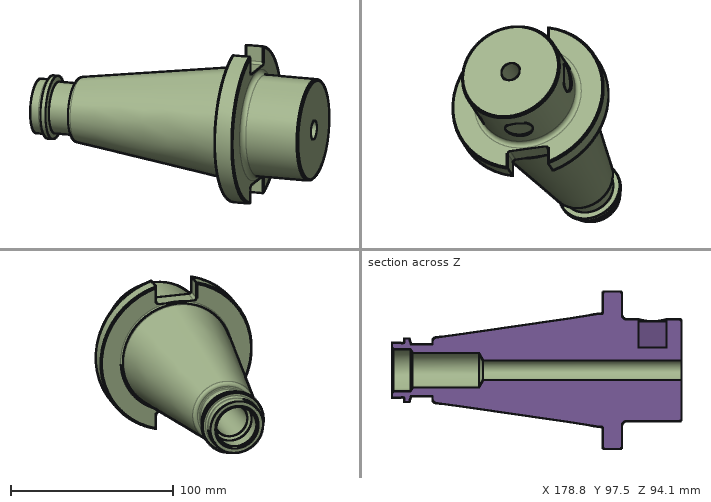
import cadquery as cq
import math

LENGTH = 178.8
RELIEF_START = 5.5
LIP_START = 7.7
LIP_END = 10.9
NECK_START = 12.0
TAPER_START = 25.0
GAUGE_LINE = 126.8
FLANGE_START = 130.0
FLANGE_END = 142.0

TAIL_RADIUS = 17.0
RELIEF_RADIUS = 16.8
RELIEF_RAMP = 0.7
RELIEF_FILLET = 1.0
LIP_RADIUS = 19.7
NECK_RADIUS = 16.1
NECK_FILLET = 0.5

GAUGE_RADIUS = 34.9
TAPER_SLOPE = 7 / 24 / 2
TAPER_START_RADIUS = GAUGE_RADIUS - TAPER_SLOPE * (GAUGE_LINE - TAPER_START)
TAPER_FILLET = 2.5

FLANGE_RADIUS = 97.5 / 2
FLANGE_CHAMFER = 0.7
FLANGE_FRONT_FILLET = 1.0
SLOT_WIDTH = 25.7
SLOT_FLOOR = 35.4
SLOT_FILLET = 1.6

NOSE_RADIUS = 31.5
NOSE_FILLET = 3.0
NOSE_CHAMFER = 0.9

MOUTH_RADIUS = 14.0
COUNTERBORE_RADIUS = 12.9
COUNTERBORE_DEPTH = 11.5
THREAD_BORE_RADIUS = 10.5
THREAD_BORE_DEPTH = 53.6
THROUGH_RADIUS = 5.9
DRILL_HALF_ANGLE = math.radians(60)

SCREW_RADIUS = 8.5
SCREW_X = 160.7
SCREW_INNER_END = 14.3
SCREW_OUTER_END = math.sqrt(NOSE_RADIUS**2 - SCREW_RADIUS**2)
SCREW_DIRECTIONS = (cq.Vector(0, 1, 0), cq.Vector(0, 0, -1))


def revolve_about_x(points):
    """Turn a closed (x, radius) outline about the X axis."""
    outline = cq.Workplane("XZ").polyline(points).close()
    return outline.revolve(360, (0, 0, 0), (1, 0, 0))


def ring_edge(x, radius):
    """Selector for the circular edge of the given radius lying at x, and nothing larger."""
    margin = 0.09
    reach = radius + margin
    return cq.selectors.BoxSelector(
        (x - margin, -reach, -reach), (x + margin, reach, reach), boundingbox=True
    )


def make_tail():
    """Tail with a pull lip and a shallow relief in front of the lip."""
    tail = revolve_about_x([
        (0, 0),
        (0, TAIL_RADIUS),
        (RELIEF_START, TAIL_RADIUS),
        (RELIEF_START + RELIEF_RAMP, RELIEF_RADIUS),
        (LIP_START, RELIEF_RADIUS),
        (LIP_START, LIP_RADIUS),
        (LIP_END, LIP_RADIUS),
        (NECK_START, NECK_RADIUS),
        (TAPER_START, NECK_RADIUS),
        (TAPER_START, 0),
    ])
    return tail.edges(ring_edge(LIP_START, RELIEF_RADIUS)).fillet(RELIEF_FILLET)


def make_taper():
    """Taper and its short cylinder, flared by a fillet where it meets the flange."""
    fillet = FLANGE_FRONT_FILLET
    taper = (
        cq.Workplane("XZ")
        .moveTo(TAPER_START, 0)
        .lineTo(TAPER_START, TAPER_START_RADIUS)
        .lineTo(GAUGE_LINE, GAUGE_RADIUS)
        .lineTo(FLANGE_START - fillet, GAUGE_RADIUS)
        .radiusArc((FLANGE_START, GAUGE_RADIUS + fillet), -fillet)
        .lineTo(FLANGE_START, 0)
        .close()
        .revolve(360, (0, 0, 0), (1, 0, 0))
    )
    return taper.edges(ring_edge(TAPER_START, TAPER_START_RADIUS)).fillet(TAPER_FILLET)


def make_drive_slot():
    """Cutter for the +Z slot: rounded floor corners, and walls that flare out at both flange faces."""
    width = FLANGE_END - FLANGE_START
    depth = FLANGE_RADIUS - SLOT_FLOOR
    slot = (
        cq.Workplane(origin=((FLANGE_START + FLANGE_END) / 2, 0, SLOT_FLOOR + depth / 2))
        .box(width, SLOT_WIDTH, depth)
        .faces("<Z").edges("|X").fillet(SLOT_FILLET)
    )
    wall = SLOT_WIDTH / 2
    flared = wall + FLANGE_CHAMFER
    for face_x, inward in ((FLANGE_START, 1), (FLANGE_END, -1)):
        flare = (
            cq.Workplane(origin=(0, 0, SLOT_FLOOR + SLOT_FILLET))
            .polyline([
                (face_x, -flared),
                (face_x, flared),
                (face_x + inward * FLANGE_CHAMFER, wall),
                (face_x + inward * FLANGE_CHAMFER, -wall),
            ])
            .close()
            .extrude(depth - SLOT_FILLET)
        )
        slot = slot.union(flare)
    return slot


def make_flange():
    """Chamfered flange disc with a drive slot at +Z and at -Z."""
    flange = cq.Workplane("YZ", origin=(FLANGE_START, 0, 0)).circle(FLANGE_RADIUS)
    flange = flange.extrude(FLANGE_END - FLANGE_START).edges().chamfer(FLANGE_CHAMFER)
    slot = make_drive_slot()
    return flange.cut(slot).cut(slot.mirror("XY"))


def make_nose():
    """Nose cylinder, flared by a fillet where it meets the flange."""
    nose = (
        cq.Workplane("XZ")
        .moveTo(FLANGE_END, 0)
        .lineTo(FLANGE_END, NOSE_RADIUS + NOSE_FILLET)
        .radiusArc((FLANGE_END + NOSE_FILLET, NOSE_RADIUS), -NOSE_FILLET)
        .lineTo(LENGTH, NOSE_RADIUS)
        .lineTo(LENGTH, 0)
        .close()
        .revolve(360, (0, 0, 0), (1, 0, 0))
    )
    return nose.edges(ring_edge(LENGTH, NOSE_RADIUS)).chamfer(NOSE_CHAMFER)


def make_bore():
    """Cutter for the bore: chamfered counterbore, thread bore and through hole, joined by cones."""
    countersink = (COUNTERBORE_RADIUS - THREAD_BORE_RADIUS) / math.tan(DRILL_HALF_ANGLE)
    drill_tip = (THREAD_BORE_RADIUS - THROUGH_RADIUS) / math.tan(DRILL_HALF_ANGLE)
    return revolve_about_x([
        (0, 0),
        (0, MOUTH_RADIUS),
        (MOUTH_RADIUS - COUNTERBORE_RADIUS, COUNTERBORE_RADIUS),
        (COUNTERBORE_DEPTH, COUNTERBORE_RADIUS),
        (COUNTERBORE_DEPTH + countersink, THREAD_BORE_RADIUS),
        (THREAD_BORE_DEPTH, THREAD_BORE_RADIUS),
        (THREAD_BORE_DEPTH + drill_tip, THROUGH_RADIUS),
        (LENGTH, THROUGH_RADIUS),
        (LENGTH, 0),
    ])


def radial_cylinder(direction, outer_end):
    """Screw-sized cylinder from the inner end of a screw hole out to the given distance."""
    start = cq.Vector(SCREW_X, 0, 0) + direction * SCREW_INNER_END
    return cq.Solid.makeCylinder(SCREW_RADIUS, outer_end - SCREW_INNER_END, start, direction)


def make_holder():
    holder = make_tail().union(make_taper()).union(make_flange()).union(make_nose())
    holder = holder.edges(ring_edge(TAPER_START, NECK_RADIUS)).fillet(NECK_FILLET)
    holder = holder.cut(make_bore())
    for direction in SCREW_DIRECTIONS:
        holder = holder.cut(cq.Workplane(radial_cylinder(direction, NOSE_RADIUS)))
    return holder


def make_screw(direction):
    """Clamping screw whose flat outer end is level with the lowest point of the hole rim."""
    return radial_cylinder(direction, SCREW_OUTER_END)


holder = make_holder()
screws = [make_screw(direction) for direction in SCREW_DIRECTIONS]

result = cq.Compound.makeCompound([holder.val(), *screws])